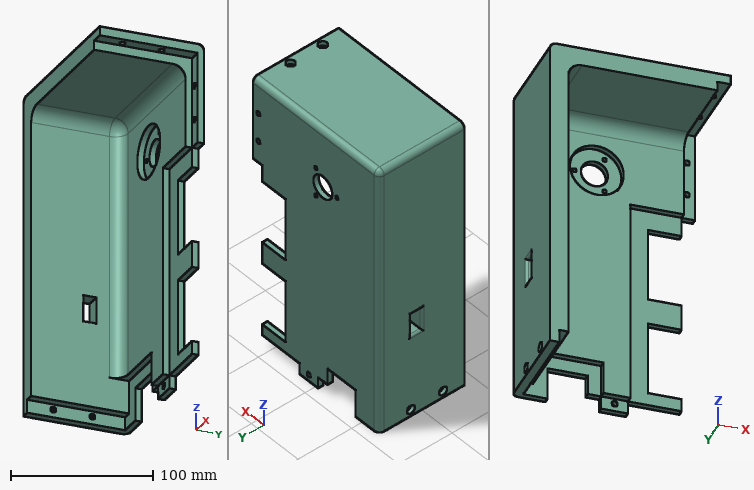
import cadquery as cq

LENGTH = 135.0
DEPTH = 80.0
HEIGHT = 245.0

WALL = 14.0
PLATE = 10.0
OUTER_RADIUS = 5.0
INNER_RADIUS = 10.0

LAP = 10.0
WALL_LAP = WALL / 2
PLATE_LAP = PLATE / 2
LAP_Y = DEPTH - PLATE_LAP

FRAME_LEFT = 85.0
FRAME_TOP = 169.0
SPINE_RIGHT = 100.0
FINGER_RIGHT = LENGTH - LAP
WINDOW_HEIGHT = 57.0
WINDOW_BOTTOMS = (20.0, 97.0)

THIN_RIGHT = 65.0
THIN_TOP = 35.0
NOTCH_LEFT = 25.0
NOTCH_RIGHT = 55.0
NOTCH_TOP = 25.0

SEAT_X = 60.0
SEAT_DROP = 53.0
SEAT_Z = HEIGHT - SEAT_DROP
SEAT_DIAMETER = 40.0
SEAT_DEPTH = 5.0
BORE_DIAMETER = 20.0
SEAT_SCREW_DIAMETER = 3.0
SEAT_SCREW_COUNT = 3
SEAT_SCREW_RADIUS = 15.0
SEAT_SCREW_START_ANGLE = 180.0

SCREW_INSET = 6.0
WALL_SCREW_YS = (20.0, 50.0)
SCREW_DIAMETER = 4.2
SCREW_HEAD_DIAMETER = 7.2
SCREW_HEAD_DEPTH = 4.1
TAB_SCREW_DIAMETER = 4.0
TAB_SCREW_DROPS = (30.0, 56.0)

SWITCH_Y = 45.0
SWITCH_Z = 85.0
SWITCH_WIDTH = 10.0
SWITCH_HEIGHT = 20.0
SWITCH_ROUNDING = 2.0

OVERCUT = 20.0

CORNER_EDGES = "(<X and >Y) or (<X and >Z) or (>Y and >Z)"


def block(x_range, y_range, z_range):
    """Box between the given limits on each axis."""
    sizes = [high - low for low, high in (x_range, y_range, z_range)]
    corner = (x_range[0], y_range[0], z_range[0])
    return cq.Workplane("XY").box(*sizes, centered=False).translate(corner)


def plate_hole(x, z, diameter):
    """Cutter for a round hole right through the back plate."""
    return (
        cq.Workplane("XZ", origin=(x, DEPTH + OVERCUT, z))
        .circle(diameter / 2)
        .extrude(PLATE + 2 * OVERCUT)
    )


def make_shell():
    """Left wall, top wall and back plate, open to the front, right and bottom."""
    body = block((0, LENGTH), (0, DEPTH), (0, HEIGHT))
    body = body.edges(CORNER_EDGES).fillet(OUTER_RADIUS)
    cavity = block((WALL, LENGTH + OVERCUT), (-OVERCUT, DEPTH - PLATE), (-OVERCUT, HEIGHT - WALL))
    cavity = cavity.edges(CORNER_EDGES).fillet(INNER_RADIUS)
    return body.cut(cavity)


def cut_laps(body):
    """Thin the right end of the top, the bottom end, the frame area and the notch area."""
    y_range = (-OVERCUT, LAP_Y)
    right = LENGTH + OVERCUT
    body = body.cut(block((LENGTH - LAP, right), y_range, (-OVERCUT, HEIGHT - WALL_LAP)))
    body = body.cut(block((WALL_LAP, right), y_range, (-OVERCUT, LAP)))
    body = body.cut(block((FRAME_LEFT, right), y_range, (-OVERCUT, FRAME_TOP)))
    return body.cut(block((WALL, THIN_RIGHT), y_range, (-OVERCUT, THIN_TOP)))


def cut_plate_outline(body):
    """Shape the lower and right edges of the back plate."""
    y_range = (-OVERCUT, DEPTH + OVERCUT)
    right = LENGTH + OVERCUT
    body = body.cut(block((FINGER_RIGHT, right), y_range, (-OVERCUT, FRAME_TOP)))
    body = body.cut(block((FRAME_LEFT, right), y_range, (-OVERCUT, LAP)))
    for bottom in WINDOW_BOTTOMS:
        body = body.cut(block((SPINE_RIGHT, right), y_range, (bottom, bottom + WINDOW_HEIGHT)))
    body = body.cut(block((NOTCH_LEFT, NOTCH_RIGHT), y_range, (-OVERCUT, NOTCH_TOP)))
    return body.cut(block((NOTCH_RIGHT, THIN_RIGHT), y_range, (-OVERCUT, LAP)))


def cut_flange_seat(body):
    """Round recess with a central bore and a ring of screw holes."""
    recess = (
        cq.Workplane("XZ", origin=(SEAT_X, DEPTH - PLATE + SEAT_DEPTH, SEAT_Z))
        .circle(SEAT_DIAMETER / 2)
        .extrude(SEAT_DEPTH)
    )
    screws = (
        cq.Workplane("XZ", origin=(SEAT_X, DEPTH + OVERCUT, SEAT_Z))
        .polarArray(SEAT_SCREW_RADIUS, SEAT_SCREW_START_ANGLE, 360, SEAT_SCREW_COUNT)
        .circle(SEAT_SCREW_DIAMETER / 2)
        .extrude(PLATE + 2 * OVERCUT)
    )
    return body.cut(recess).cut(plate_hole(SEAT_X, SEAT_Z, BORE_DIAMETER)).cut(screws)


def counterbored_hole(face):
    """Cutter for a counterbored hole, from the face plane inward along its negative normal."""
    shank = face.circle(SCREW_DIAMETER / 2).extrude(-WALL)
    head = face.circle(SCREW_HEAD_DIAMETER / 2).extrude(-SCREW_HEAD_DEPTH)
    return shank.union(head)


def cut_screw_holes(body):
    """Counterbored holes in the wall laps and plain holes in the plate tabs."""
    left_plane = cq.Plane(origin=(0, 0, SCREW_INSET), xDir=(0, 1, 0), normal=(-1, 0, 0))
    top_plane = cq.Plane(origin=(LENGTH - SCREW_INSET, 0, HEIGHT), xDir=(0, 1, 0), normal=(0, 0, 1))
    for plane in (left_plane, top_plane):
        for y in WALL_SCREW_YS:
            body = body.cut(counterbored_hole(cq.Workplane(plane).center(y, 0)))
    for drop in TAB_SCREW_DROPS:
        body = body.cut(plate_hole(LENGTH - SCREW_INSET, HEIGHT - drop, TAB_SCREW_DIAMETER))
    return body.cut(plate_hole((THIN_RIGHT + FRAME_LEFT) / 2, SCREW_INSET, SCREW_DIAMETER))


def cut_switch_opening(body):
    """Rectangular opening through the left wall with a rounded outer rim."""
    opening = (
        cq.Workplane("YZ", origin=(0, SWITCH_Y, SWITCH_Z))
        .rect(SWITCH_WIDTH, SWITCH_HEIGHT)
        .extrude(WALL + INNER_RADIUS)
    )
    body = body.cut(opening)
    rim = cq.selectors.BoxSelector(
        (-SWITCH_ROUNDING, SWITCH_Y - SWITCH_WIDTH, SWITCH_Z - SWITCH_HEIGHT),
        (SWITCH_ROUNDING, SWITCH_Y + SWITCH_WIDTH, SWITCH_Z + SWITCH_HEIGHT),
    )
    return body.faces("<X").edges(rim).fillet(SWITCH_ROUNDING)


result = make_shell()
result = cut_laps(result)
result = cut_plate_outline(result)
result = cut_flange_seat(result)
result = cut_switch_opening(result)
result = cut_screw_holes(result)